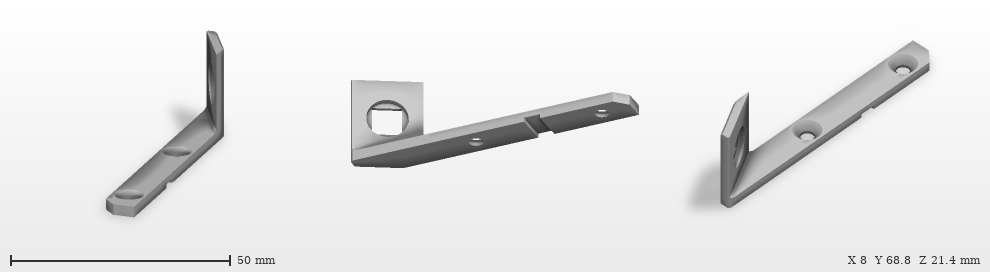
import cadquery as cq
import math

width = 8.0
length = 68.75
height = 21.4
base_thickness = 2.55

slant_angle = 28.2
plate_front_y = 53.9
plate_thickness = 2.4
root_chamfer = 0.6
back_chamfer = 0.55

near_corner = 2.9
far_corner = 0.6

window_y = 61.2
window_z = 11.55
recess_diameter = 9.7
recess_depth = 1.5
window_side = 6.9

hole_diameter = 3.4
countersink_diameter = 6.9
countersink_angle = 90.0
first_hole_y = 7.4
hole_spacing = 31.5

groove_start_y = 21.2
groove_width = 4.0
groove_depth = 1.0

slant = math.radians(slant_angle)
back_y = plate_front_y + plate_thickness / math.sin(slant)
back_x = width - (length - back_y) * math.tan(slant)

front_face = cq.Plane(
    origin=(width, plate_front_y, 0),
    xDir=(math.sin(slant), -math.cos(slant), 0),
    normal=(-math.cos(slant), -math.sin(slant), 0),
)

cross_section = cq.Plane(
    origin=(width, plate_front_y, 0),
    xDir=front_face.zDir.toTuple(),
    normal=(-front_face.xDir).toTuple(),
)


def full_height_body():
    """Plan outline of the whole part, raised to full height."""
    outline = [
        (near_corner, 0),
        (width, 0),
        (width, back_y),
        (back_x, length),
        (far_corner, length),
        (0, length - far_corner),
        (0, near_corner),
    ]
    return cq.Workplane("XY").polyline(outline).close().extrude(height)


def space_in_front_of_plate():
    """Everything above the base and ahead of the plate, with the root strip left in."""
    profile = [
        (0, base_thickness + root_chamfer),
        (0, height),
        (length, height),
        (length, base_thickness),
        (root_chamfer, base_thickness),
    ]
    return cq.Workplane(cross_section).polyline(profile).close().extrude(length, both=True)


def back_edge_cut():
    """Wedge along the top back edge of the plate."""
    profile = [
        (-plate_thickness, height - back_chamfer),
        (-plate_thickness, height),
        (-plate_thickness + back_chamfer, height),
    ]
    return cq.Workplane(cross_section).polyline(profile).close().extrude(length, both=True)


def window():
    """Round recess in the front face with a square opening through its floor."""
    along_plate = -(window_y - plate_front_y) / math.cos(slant)
    face = cq.Workplane(front_face).center(along_plate, window_z)
    recess = face.circle(recess_diameter / 2).extrude(-recess_depth)
    opening = face.rect(window_side, window_side).extrude(-2 * plate_thickness)
    return recess.union(opening)


def groove():
    """Rectangular channel across the underside."""
    channel = cq.Workplane("XY").box(width, groove_width, groove_depth, centered=False)
    return channel.translate((0, groove_start_y, 0))


result = full_height_body().cut(space_in_front_of_plate())
result = result.cut(back_edge_cut()).cut(window()).cut(groove())

hole_centres = [(width / 2, first_hole_y + i * hole_spacing) for i in range(2)]
result = (
    result.copyWorkplane(cq.Workplane("XY", origin=(0, 0, base_thickness)))
    .pushPoints(hole_centres)
    .cskHole(hole_diameter, countersink_diameter, countersink_angle)
)